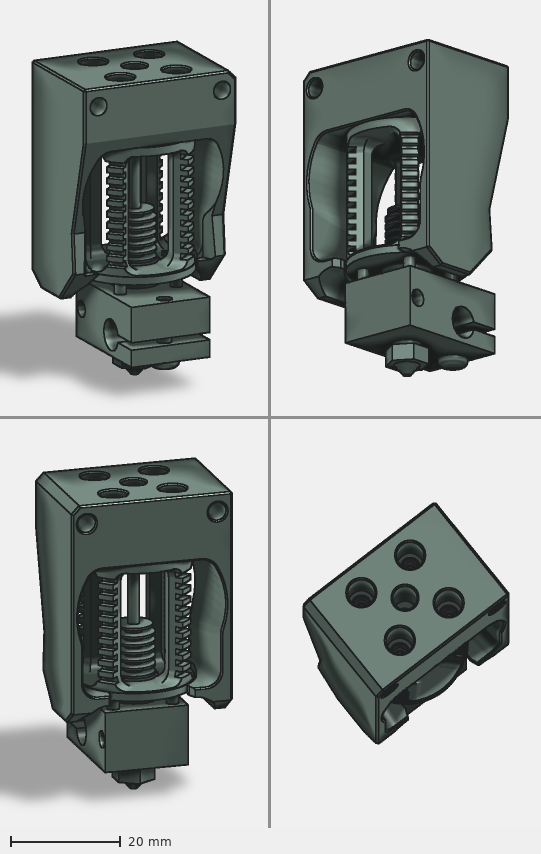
import cadquery as cq
import math


HOUSING_WIDTH = 30.8
HALF_WIDTH = HOUSING_WIDTH / 2
BACK_X = -11.35
FRONT_X = 10.75
HOUSING_TOP = 58.4
HOUSING_BOTTOM = 16.1
SIDE_OUTLINE = [
    (BACK_X, 18.7), (BACK_X, HOUSING_TOP), (FRONT_X, HOUSING_TOP), (FRONT_X, 48.2),
    (5.7, 29.8), (6.35, 22.2), (0.3, HOUSING_BOTTOM), (-7.55, HOUSING_BOTTOM),
]
EDGE_CHAMFER = 0.35
TOP_EDGE_CHAMFER = 1.5
HOLE_CHAMFER = 0.3

DUCT_CEILING = 45.9
DUCT_FLOOR = 21.55
DUCT_AXIS_Z = 37.15
DUCT_RADIUS = 14.15
DUCT_BACK_HALF = 13.2
DUCT_THROAT_HALF = 11.85
DUCT_THROAT_X = 4.05
DUCT_FLARE = 0.6
DUCT_TOP_CORNER = 3.2
DUCT_FLOOR_CORNER = 2.9
DUCT_BLEND = 3.5

LIP_BOTTOM = 19.85
MOUTH_HALF = 8.2
MOUTH_THROAT_HALF = 7.55
MOUTH_TAPER = 1.6
CLEARANCE_RADIUS = 11.45
FOOT_ARC_RADIUS = 5.15

BOLT_SPACING = 11.35
BOLT_HEAD_HOLE = 5.0
BOLT_HEAD_FLOOR = 49.05
BOLT_SHANK_HOLE = 2.9
BOLT_SHANK_CHAMFER = 0.25
FILAMENT_INLET = 4.45
FIXING_HOLE = 3.4
FIXING_SPACING = 25.0
FIXING_Z = 54.9

FLANGE_DIAMETER = 22.0
BASE_RIM_DIAMETER = 22.3
BASE_RIM_TOP = 21.45
BASE_BOTTOM = 20.0
BASE_TOP = 21.7
BASE_PIN_DIAMETER = 1.05
BASE_PIN_HEIGHT = 0.7
BASE_PIN_Y = 6.1
TOP_FLANGE_BOTTOM = 44.25
FLANGE_TAP_HOLE = 2.1

PILLAR_WIDTH = 3.1
PILLAR_INNER = 4.55
PILLAR_FILLET = 2.4
GAP_COUNT = 10
TOOTH_HEIGHT = 1.05
TOOTH_ROOT_RADIUS = 9.6

TUBE_DIAMETER = 2.15
FILAMENT_BORE = 1.85
CORE_DIAMETER = 3.2
FIN_DIAMETER = 8.0
TOP_FIN_DIAMETER = 7.1
FIN_COUNT = 7
FIN_THICKNESS = 0.4
FIN_PITCH = 1.505
TOP_FIN_Z = 31.3

NECK_DIAMETER = 9.1
NECK_SEAT_Z = 21.5
STANDOFF_DIAMETER = 2.2

BLOCK_BACK_X = -8.0
BLOCK_FRONT_X = 15.05
BLOCK_WIDTH = 15.9
BLOCK_BOTTOM = 6.0
BLOCK_TOP = 17.4
SENSOR_HOLE = 3.15
SENSOR_X = -5.9
SENSOR_Z = 11.75
HEATER_HOLE = 5.9
HEATER_X = 6.5
HEATER_Z = 10.0
SLOT_BOTTOM = 9.3
SLOT_TOP = 10.7

SCREW_X = 12.45
SCREW_DIAMETER = 2.6
SCREW_HOLE = 2.8
SCREW_TOP = 14.0
SCREW_HEAD_DIAMETER = 5.5
SCREW_HEAD_HEIGHT = 1.5
SCREW_HEAD_ROUND = 1.15

NOZZLE_NECK_DIAMETER = 5.25
HEX_CORNERS = 8.0
HEX_TOP = 4.95
HEX_BOTTOM = 1.9
CONE_DIAMETER = 4.7
TIP_DIAMETER = 1.35

QUARTER_SIZE = 14.6
REACH = 58.4


def cylinder(diameter, bottom, top, x=0.0, y=0.0):
    """Upright cylinder between two heights."""
    return cq.Workplane("XY", origin=(x, y, bottom)).circle(diameter / 2).extrude(top - bottom)


def block(x_range, y_range, z_range):
    """Box given by its limits along each axis."""
    lows, highs = zip(x_range, y_range, z_range)
    sizes = [high - low for low, high in zip(lows, highs)]
    return cq.Workplane("XY", origin=lows).box(*sizes, centered=False)


def countersunk_cutter(diameter, bottom, top, chamfer):
    """Hole cutter whose upper rim is widened by a chamfer."""
    radius = diameter / 2
    profile = [(0, bottom), (radius, bottom), (radius, top - chamfer), (radius + chamfer, top), (0, top)]
    return cq.Workplane("XZ").polyline(profile).close().revolve(360, (0, 0), (0, 1))


def square_pattern(spacing):
    """Corners of a square centred on the hotend axis."""
    half = spacing / 2
    return [(x, y) for x in (-half, half) for y in (-half, half)]


def needs_edge_chamfer(edge):
    """True for the outline edges of the sides and the upper edges of front and back."""
    direction = edge.tangentAt(0)
    center = edge.Center()
    near_top = center.z > HOUSING_TOP - TOP_EDGE_CHAMFER - EDGE_CHAMFER
    if abs(direction.y) > 0.99:
        return near_top
    beside_big_chamfer = near_top and center.y > 0 and abs(direction.x) > 0.99
    return not beside_big_chamfer


def housing_blank():
    blank = cq.Workplane("XZ").polyline(SIDE_OUTLINE).close().extrude(HALF_WIDTH, both=True)
    blank = blank.faces(">Y").edges(">Z").chamfer(TOP_EDGE_CHAMFER)
    edges = [edge for edge in blank.edges().vals() if needs_edge_chamfer(edge)]
    return blank.newObject(edges).chamfer(EDGE_CHAMFER)


def tapered_passage(start_x, start_half, end_x, end_half):
    """Flat-floored passage along X whose half width changes evenly."""
    outline = [(start_x, -start_half), (end_x, -end_half), (end_x, end_half), (start_x, start_half)]
    plan = cq.Workplane("XY", origin=(0, 0, DUCT_FLOOR)).polyline(outline).close()
    return plan.extrude(DUCT_AXIS_Z - DUCT_FLOOR)


def duct():
    """Round upper duct with a flat ceiling, over a lower part that narrows to a throat and flares."""
    length = FRONT_X - BACK_X
    upper = (
        cq.Workplane("YZ", origin=(BACK_X, 0, DUCT_AXIS_Z)).circle(DUCT_RADIUS).extrude(length)
        .intersect(block((BACK_X, FRONT_X), (-REACH, REACH), (DUCT_FLOOR, DUCT_CEILING)))
        .faces(">Z").edges("|X").fillet(DUCT_TOP_CORNER)
    )
    taper = (DUCT_BACK_HALF - DUCT_THROAT_HALF) / (DUCT_THROAT_X - BACK_X)
    exit_half = DUCT_BACK_HALF - taper * length
    lower = tapered_passage(BACK_X, DUCT_BACK_HALF, FRONT_X, exit_half)
    floor_corners = [edge for edge in lower.faces("<Z").edges().vals() if abs(edge.tangentAt(0).x) > 0.5]
    lower = lower.newObject(floor_corners).fillet(DUCT_FLOOR_CORNER)

    whole = upper.union(lower)
    seam_low = DUCT_FLOOR + 1.5 * DUCT_FLOOR_CORNER
    seams = [
        edge for edge in whole.edges().vals()
        if edge.geomType() not in ("LINE", "CIRCLE") and seam_low < edge.Center().z < DUCT_AXIS_Z
    ]
    whole = whole.newObject(seams).fillet(DUCT_BLEND)

    flare_half = DUCT_THROAT_HALF + DUCT_FLARE * (FRONT_X - DUCT_THROAT_X)
    flare = tapered_passage(DUCT_THROAT_X, DUCT_THROAT_HALF, FRONT_X, flare_half)
    return whole.union(flare)


def bottom_opening():
    """Mouth for the hotend base, and the arched cut between the two feet."""
    throat_x = BACK_X + MOUTH_TAPER
    mouth = (
        cq.Workplane("XY", origin=(0, 0, HOUSING_BOTTOM))
        .polyline([
            (BACK_X, -MOUTH_HALF), (throat_x, -MOUTH_THROAT_HALF), (0, -MOUTH_THROAT_HALF),
            (0, MOUTH_THROAT_HALF), (throat_x, MOUTH_THROAT_HALF), (BACK_X, MOUTH_HALF),
        ]).close().extrude(DUCT_AXIS_Z - HOUSING_BOTTOM)
    )
    clearance = cylinder(2 * CLEARANCE_RADIUS, HOUSING_BOTTOM, DUCT_AXIS_Z)
    arch = block((-REACH, REACH), (-MOUTH_HALF, MOUTH_HALF), (0, LIP_BOTTOM))
    for side in (-1, 1):
        foot_round = (
            cq.Workplane("YZ", origin=(0, side * MOUTH_HALF, LIP_BOTTOM - FOOT_ARC_RADIUS))
            .circle(FOOT_ARC_RADIUS).extrude(REACH, both=True)
        )
        arch = arch.union(foot_round)
    return mouth.union(clearance).union(arch)


def make_housing():
    body = housing_blank().cut(duct())
    window_rim = body.faces("<X").val().innerWires()[0].Edges()
    body = body.newObject(window_rim).chamfer(HOLE_CHAMFER)
    body = body.cut(bottom_opening())
    body = body.cut(cylinder(FLANGE_DIAMETER, TOP_FLANGE_BOTTOM, DUCT_CEILING))

    head_hole = countersunk_cutter(BOLT_HEAD_HOLE, BOLT_HEAD_FLOOR, HOUSING_TOP, HOLE_CHAMFER)
    shank_hole = countersunk_cutter(BOLT_SHANK_HOLE, DUCT_CEILING, BOLT_HEAD_FLOOR, BOLT_SHANK_CHAMFER)
    bolt_hole = head_hole.union(shank_hole)
    for x, y in square_pattern(BOLT_SPACING):
        body = body.cut(bolt_hole.translate((x, y, 0)))
    body = body.cut(countersunk_cutter(FILAMENT_INLET, DUCT_CEILING, HOUSING_TOP, HOLE_CHAMFER))

    fixing_hole = countersunk_cutter(FIXING_HOLE, -REACH, 0, HOLE_CHAMFER)
    fixing_hole = fixing_hole.rotate((0, 0, 0), (0, 1, 0), -90)
    for side in (-1, 1):
        body = body.cut(fixing_hole.translate((BACK_X, side * FIXING_SPACING / 2, FIXING_Z)))
    return body


def pillar():
    """Radial bar at 45 degrees with a square inner corner, flaring into both flanges."""
    inner_offset = PILLAR_WIDTH / math.sqrt(2)
    near = PILLAR_INNER
    outer = QUARTER_SIZE
    outline = [
        (near, near), (near + inner_offset, near),
        (outer + inner_offset, outer), (outer, outer + inner_offset), (near, near + inner_offset),
    ]
    return (
        cq.Workplane("XY", origin=(0, 0, BASE_TOP)).polyline(outline).close()
        .extrude(TOP_FLANGE_BOTTOM - BASE_TOP)
    )


def frame_quarter():
    """One pillar with its share of both flanges, trimmed round and toothed."""
    extent = (0, QUARTER_SIZE)
    quarter = (
        block(extent, extent, (BASE_BOTTOM, BASE_TOP))
        .union(block(extent, extent, (TOP_FLANGE_BOTTOM, DUCT_CEILING)))
        .union(pillar())
    )
    inside = QUARTER_SIZE - 0.6
    for root_z in (BASE_TOP, TOP_FLANGE_BOTTOM):
        root_zone = cq.selectors.BoxSelector((0.6, 0.6, root_z - 0.05), (inside, inside, root_z + 0.05))
        quarter = quarter.edges(root_zone).fillet(PILLAR_FILLET)
    quarter = quarter.intersect(cylinder(FLANGE_DIAMETER, BASE_BOTTOM, DUCT_CEILING))

    levels = 2 * GAP_COUNT - 1
    first_gap = (BASE_TOP + TOP_FLANGE_BOTTOM - levels * TOOTH_HEIGHT) / 2
    for index in range(GAP_COUNT):
        bottom = first_gap + 2 * index * TOOTH_HEIGHT
        gap = cq.Workplane("XY", origin=(0, 0, bottom)).circle(FLANGE_DIAMETER)
        quarter = quarter.cut(gap.circle(TOOTH_ROOT_RADIUS).extrude(TOOTH_HEIGHT))
    return quarter


def frame():
    """Two round flanges joined by four toothed pillars, with a neck seat and a pin on the base."""
    quarter = frame_quarter()
    body = quarter
    for turn in (90, 180, 270):
        body = body.union(quarter.rotate((0, 0, 0), (0, 0, 1), turn))
    body = body.union(cylinder(BASE_RIM_DIAMETER, BASE_BOTTOM, BASE_RIM_TOP))
    body = body.cut(cylinder(NECK_DIAMETER, NECK_SEAT_Z, BASE_TOP + PILLAR_FILLET))
    body = body.union(cylinder(BASE_PIN_DIAMETER, BASE_TOP, BASE_TOP + BASE_PIN_HEIGHT, y=BASE_PIN_Y))
    for x, y in square_pattern(BOLT_SPACING):
        body = body.cut(cylinder(FLANGE_TAP_HOLE, TOP_FLANGE_BOTTOM, DUCT_CEILING, x, y))
    return body


def heat_break():
    """Thin filament tube standing on a finned core, with a neck and standoffs below the base."""
    body = cylinder(TUBE_DIAMETER, TOP_FIN_Z, DUCT_CEILING)
    body = body.union(cylinder(CORE_DIAMETER, BASE_BOTTOM, TOP_FIN_Z))
    for index in range(FIN_COUNT):
        diameter = TOP_FIN_DIAMETER if index == 0 else FIN_DIAMETER
        bottom = TOP_FIN_Z - index * FIN_PITCH - FIN_THICKNESS / 2
        body = body.union(cylinder(diameter, bottom, bottom + FIN_THICKNESS))
    body = body.union(cylinder(NECK_DIAMETER, BLOCK_TOP, BASE_BOTTOM))
    for x, y in square_pattern(BOLT_SPACING):
        body = body.union(cylinder(STANDOFF_DIAMETER, BLOCK_TOP, BASE_BOTTOM, x, y))
    return body


def cross_hole(diameter, x, z):
    """Hole cutter running through along Y."""
    return cq.Workplane("XZ", origin=(x, 0, z)).circle(diameter / 2).extrude(REACH, both=True)


def heater_block():
    """Block with sensor hole, split heater bore and its clamping screw."""
    half_width = BLOCK_WIDTH / 2
    body = block((BLOCK_BACK_X, BLOCK_FRONT_X), (-half_width, half_width), (BLOCK_BOTTOM, BLOCK_TOP))
    body = body.cut(cross_hole(SENSOR_HOLE, SENSOR_X, SENSOR_Z))
    body = body.cut(cross_hole(HEATER_HOLE, HEATER_X, HEATER_Z))
    body = body.cut(block((HEATER_X, BLOCK_FRONT_X), (-half_width, half_width), (SLOT_BOTTOM, SLOT_TOP)))
    body = body.cut(cylinder(SCREW_HOLE, SCREW_TOP, BLOCK_TOP, SCREW_X))
    head_bottom = BLOCK_BOTTOM - SCREW_HEAD_HEIGHT
    head = cylinder(SCREW_HEAD_DIAMETER, head_bottom, BLOCK_BOTTOM, SCREW_X)
    head = head.faces("<Z").edges().fillet(SCREW_HEAD_ROUND)
    shank = cylinder(SCREW_DIAMETER, BLOCK_BOTTOM, SCREW_TOP, SCREW_X)
    return body.union(shank).union(head)


def nozzle():
    """Round neck, hexagon with corners on X, and a conical tip."""
    neck = cylinder(NOZZLE_NECK_DIAMETER, HEX_TOP, BLOCK_BOTTOM)
    hexagon = (
        cq.Workplane("XY", origin=(0, 0, HEX_BOTTOM)).polygon(6, HEX_CORNERS).extrude(HEX_TOP - HEX_BOTTOM)
    )
    cone = (
        cq.Workplane("XZ")
        .polyline([(0, 0), (TIP_DIAMETER / 2, 0), (CONE_DIAMETER / 2, HEX_BOTTOM), (0, HEX_BOTTOM)])
        .close().revolve(360, (0, 0), (0, 1))
    )
    return neck.union(hexagon).union(cone)


def make_hotend():
    body = frame().union(heat_break()).union(heater_block()).union(nozzle())
    return body.cut(cylinder(FILAMENT_BORE, TOP_FIN_Z, DUCT_CEILING))


housing = make_housing()
hotend = make_hotend()

result = cq.Compound.makeCompound([*housing.solids().vals(), *hotend.solids().vals()])